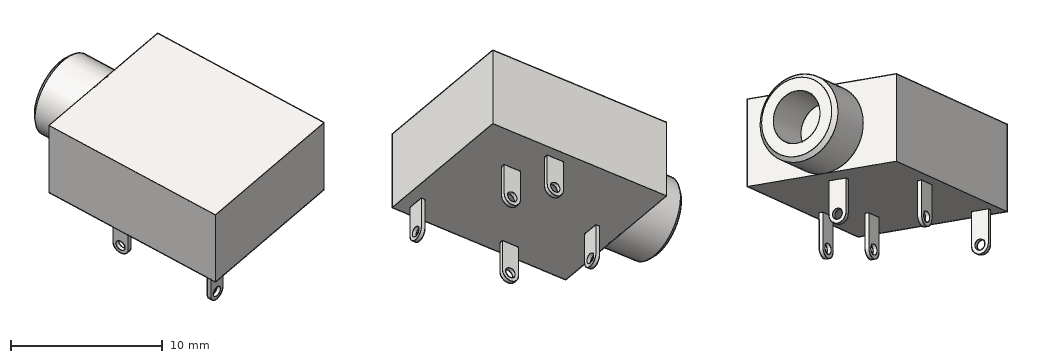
import cadquery as cq

housing_length = 14.0
housing_width = 11.5
housing_height = 6.0
axis_to_near_side = 5.55
lid_thickness = 1.0

barrel_length = 3.5
barrel_diameter = housing_height
barrel_chamfer = 0.3
bore_diameter = 3.6
axis_height = housing_height / 2

pin_length = 3.0
pin_width = 1.3
pin_thickness = 0.3
pin_hole_diameter = 0.75

pins_facing_x = [(1.8, 0.0), (12.9, -4.2)]
pins_facing_y = [(5.3, -4.5), (8.4, 5.0), (10.1, 2.5)]


def make_block(bottom, height):
    """Layer of the housing, covering its full length and width."""
    return (
        cq.Workplane("XY")
        .box(housing_length, housing_width, height, centered=False)
        .translate((0, -axis_to_near_side, bottom))
    )


def make_barrel():
    """Tube in front of the housing with a chamfered mouth; the housing face closes its bore."""
    return (
        cq.Workplane("YZ", origin=(-barrel_length, 0, axis_height))
        .circle(barrel_diameter / 2)
        .extrude(barrel_length)
        .faces("<X")
        .chamfer(barrel_chamfer)
        .cut(
            cq.Workplane("YZ", origin=(-barrel_length, 0, axis_height))
            .circle(bore_diameter / 2)
            .extrude(barrel_length)
        )
    )


def make_pin(plane, x, y):
    """Flat pin with a round tip and an eyelet, drawn on the given vertical plane."""
    half_width = pin_width / 2
    tip_centre = half_width - pin_length
    outline = (
        cq.Workplane(plane)
        .moveTo(-half_width, 0)
        .lineTo(-half_width, tip_centre)
        .threePointArc((0, -pin_length), (half_width, tip_centre))
        .lineTo(half_width, 0)
        .close()
    )
    blade = outline.extrude(pin_thickness / 2, both=True)
    eyelet = (
        cq.Workplane(plane)
        .center(0, tip_centre)
        .circle(pin_hole_diameter / 2)
        .extrude(pin_thickness, both=True)
    )
    return blade.cut(eyelet).translate((x, y, 0))


lid_bottom = housing_height - lid_thickness
base = make_block(0, lid_bottom)
lid = make_block(lid_bottom, lid_thickness)

result = base.union(lid, clean=False).union(make_barrel(), clean=False)

for pin_x, pin_y in pins_facing_x:
    result = result.union(make_pin("YZ", pin_x, pin_y), clean=False)

for pin_x, pin_y in pins_facing_y:
    result = result.union(make_pin("XZ", pin_x, pin_y), clean=False)